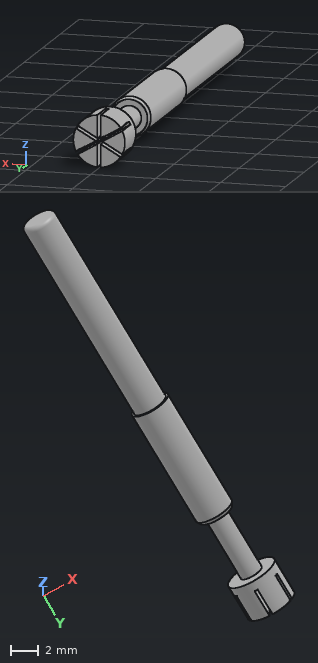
import cadquery as cq

total_length = 35.3

head_diameter = 4.0
stem_diameter = 1.8
collar_diameter = 3.1
barrel_diameter = 2.72

head_length = 3.0
stem_length = 5.33
collar_length = 10.0

collar_chamfer_length = 0.32
collar_chamfer_depth = 0.18
tail_round = 0.4

slot_width = 0.25
slot_depth = 2.25
slot_count = 3
slot_spacing = 180.0 / slot_count

head_base = total_length - head_length
collar_top = head_base - stem_length
collar_base = collar_top - collar_length


def cylinder(diameter, start, end):
    """Round bar on the Y axis between two stations."""
    length = end - start
    return cq.Workplane("XZ", origin=(0, end, 0)).circle(diameter / 2).extrude(length)


def make_barrel():
    barrel = cylinder(barrel_diameter, 0, collar_base)
    return barrel.faces("<Y").edges().fillet(tail_round)


def make_collar():
    """Collar with a chamfered shoulder facing the stem."""
    radius = collar_diameter / 2
    return (
        cq.Workplane("XY")
        .moveTo(0, collar_base)
        .lineTo(radius, collar_base)
        .lineTo(radius, collar_top - collar_chamfer_length)
        .lineTo(radius - collar_chamfer_depth, collar_top)
        .lineTo(0, collar_top)
        .close()
        .revolve(360, (0, 0, 0), (0, 1, 0))
    )


def make_head():
    """Solid head split into equal segments by slots crossing on the axis."""
    head = cylinder(head_diameter, head_base, total_length)
    slot = cq.Workplane("XY").box(slot_width, slot_depth, head_diameter)
    slot = slot.translate((0, total_length - slot_depth / 2, 0))
    for index in range(slot_count):
        head = head.cut(slot.rotate((0, 0, 0), (0, 1, 0), index * slot_spacing))
    return head


stem = cylinder(stem_diameter, collar_top, head_base)
result = make_barrel().union(make_collar()).union(stem).union(make_head())